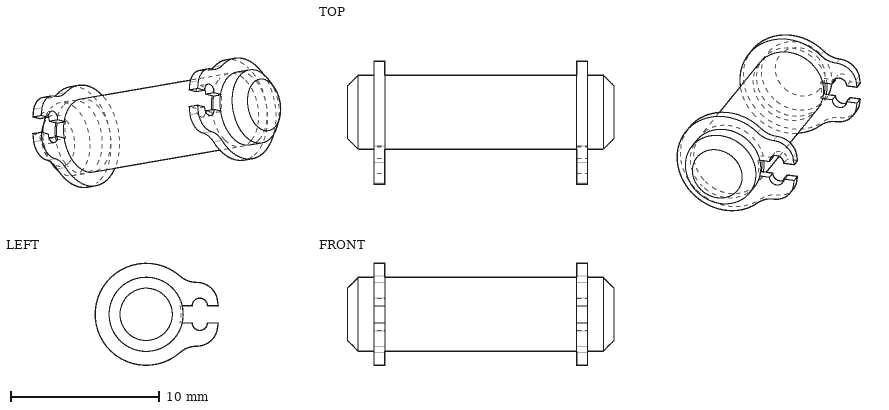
import cadquery as cq
import math

pin_length = 18.0
pin_radius = 2.5
end_chamfer = 0.74
groove_depth = 0.15

clip_thickness = 0.74
clip_inset = 1.8
clip_diameter = 6.9
clip_radius = clip_diameter / 2
clip_length = 8.32
clip_reach = clip_length - clip_radius
gap_half_width = 0.58
plier_hole_radius = 0.5
plier_hole_distance = 3.62

lug_radius = 1.44
lug_center = 3.4
lug_top = 2.16
lug_center_height = lug_top - lug_radius
tip_height = 1.12
tip_angle = math.asin((tip_height - lug_center_height) / lug_radius)
lug_mid_angle = (tip_angle + math.pi / 2) / 2

blend_radius = (lug_center**2 + lug_top**2 - clip_radius**2) / (2 * (clip_radius - lug_top))
blend_angle = math.atan2(lug_top + blend_radius, lug_center)
blend_mid_angle = (blend_angle + math.pi / 2) / 2


def make_pin():
    pin = cq.Workplane("YZ").circle(pin_radius).extrude(pin_length / 2, both=True)
    return pin.faces("<X or >X").chamfer(end_chamfer)


def make_groove(start_x):
    """Ring of material removed from the pin to seat a clip."""
    return (
        cq.Workplane("YZ", origin=(start_x, 0, 0))
        .circle(pin_radius)
        .circle(pin_radius - groove_depth)
        .extrude(clip_thickness)
    )


def make_clip(start_x):
    """Clip with its two lugs pointing to -Y, occupying start_x to start_x + clip_thickness."""
    rim_point = (-clip_radius * math.cos(blend_angle), clip_radius * math.sin(blend_angle))
    blend_mid = (
        -lug_center + blend_radius * math.cos(blend_mid_angle),
        lug_top + blend_radius - blend_radius * math.sin(blend_mid_angle),
    )
    lug_mid = (
        -lug_center - lug_radius * math.cos(lug_mid_angle),
        lug_center_height + lug_radius * math.sin(lug_mid_angle),
    )

    def mirrored(point):
        return (point[0], -point[1])

    lug_peak = (-lug_center, lug_top)
    lug_end = (-lug_center - lug_radius * math.cos(tip_angle), tip_height)
    lug_tip = (-clip_reach, gap_half_width)
    plane = cq.Workplane("YZ", origin=(start_x, 0, 0))
    clip = (
        plane.moveTo(*rim_point)
        .threePointArc((clip_radius, 0), mirrored(rim_point))
        .threePointArc(mirrored(blend_mid), mirrored(lug_peak))
        .threePointArc(mirrored(lug_mid), mirrored(lug_end))
        .lineTo(*mirrored(lug_tip))
        .lineTo(*lug_tip)
        .lineTo(*lug_end)
        .threePointArc(lug_mid, lug_peak)
        .threePointArc(blend_mid, rim_point)
        .close()
        .extrude(clip_thickness)
    )
    gap = plane.center(-clip_reach / 2, 0).rect(clip_reach, 2 * gap_half_width).extrude(clip_thickness)
    plier_holes = (
        plane.pushPoints([(-plier_hole_distance, side * gap_half_width) for side in (-1, 1)])
        .circle(plier_hole_radius)
        .extrude(clip_thickness)
    )
    return clip.cut(gap).cut(plier_holes)


result = make_pin()
first_clip_x = -pin_length / 2 + clip_inset
for clip_x in (first_clip_x, -first_clip_x - clip_thickness):
    result = result.cut(make_groove(clip_x)).union(make_clip(clip_x))